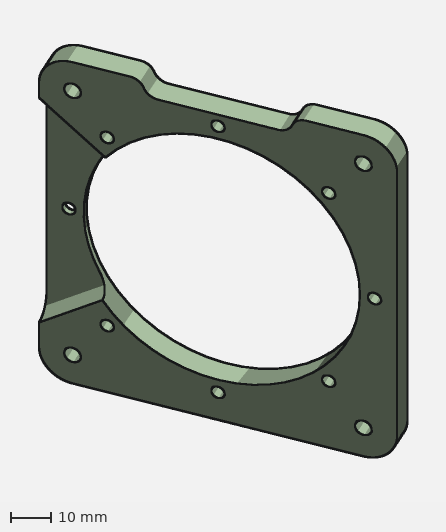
import cadquery as cq
import math

width = 96.0
height = 101.3
thickness = 7.0
corner_radius = 9.0

bore_diameter = 76.0
corner_hole_diameter = 4.5
ring_hole_diameter = 3.5
ring_hole_count = 8
ring_radius = 42.0

notch_depth = 5.1
notch_opening = 47.2
notch_curve_radius = 4.1

recess_depth = 5.0
recess_upper_angle = 37.5
recess_lower_angle = 35.4
recess_fillet = recess_depth

clearance = 10.1

front_y = -thickness / 2
back_y = thickness / 2


def make_plate():
    """Upright plate with rounded corners, centred on the origin."""
    return cq.Workplane("XY").box(width, thickness, height).edges("|Y").fillet(corner_radius)


def make_holes(points, diameter):
    """Cylinders through the plate thickness at the given (x, z) points."""
    return (
        cq.Workplane("XZ", origin=(0, back_y, 0))
        .pushPoints(points)
        .circle(diameter / 2)
        .extrude(thickness)
    )


def make_notch():
    """Top-edge notch whose ends are S-curves of two equal tangent arcs."""
    radius = notch_curve_radius
    top = height / 2
    floor = top - notch_depth
    sweep = math.acos(1 - notch_depth / (2 * radius))
    arc_run = radius * math.sin(sweep)
    half_run = radius * math.sin(sweep / 2)
    half_drop = radius * (1 - math.cos(sweep / 2))
    outer = notch_opening / 2
    middle = outer - arc_run
    inner = middle - arc_run
    middle_z = top - notch_depth / 2
    return (
        cq.Workplane("XZ", origin=(0, back_y, 0))
        .moveTo(-outer, top)
        .threePointArc((-outer + half_run, top - half_drop), (-middle, middle_z))
        .threePointArc((-inner - half_run, floor + half_drop), (-inner, floor))
        .lineTo(inner, floor)
        .threePointArc((inner + half_run, floor + half_drop), (middle, middle_z))
        .threePointArc((outer - half_run, top - half_drop), (outer, top))
        .close()
        .extrude(thickness)
    )


def make_recess():
    """Wedge with radial walls, rounded where they meet the recess floor."""
    reach = width / 2 + clearance
    upper_z = reach * math.tan(math.radians(recess_upper_angle))
    lower_z = -reach * math.tan(math.radians(recess_lower_angle))
    wedge = (
        cq.Workplane("XZ", origin=(0, front_y + recess_depth, 0))
        .polyline([(0, 0), (-reach, upper_z), (-reach, lower_z)])
        .close()
        .extrude(recess_depth + clearance)
    )
    return wedge.faces(">Y").edges("not |Z").fillet(recess_fillet)


corner_x = width / 2 - corner_radius
corner_z = height / 2 - corner_radius
corner_points = [(sx * corner_x, sz * corner_z) for sx in (-1, 1) for sz in (-1, 1)]

ring_angles = [2 * math.pi * i / ring_hole_count for i in range(ring_hole_count)]
ring_points = [(ring_radius * math.cos(a), ring_radius * math.sin(a)) for a in ring_angles]

result = (
    make_plate()
    .cut(make_notch())
    .cut(make_recess())
    .cut(make_holes([(0, 0)], bore_diameter))
    .cut(make_holes(corner_points, corner_hole_diameter))
    .cut(make_holes(ring_points, ring_hole_diameter))
)